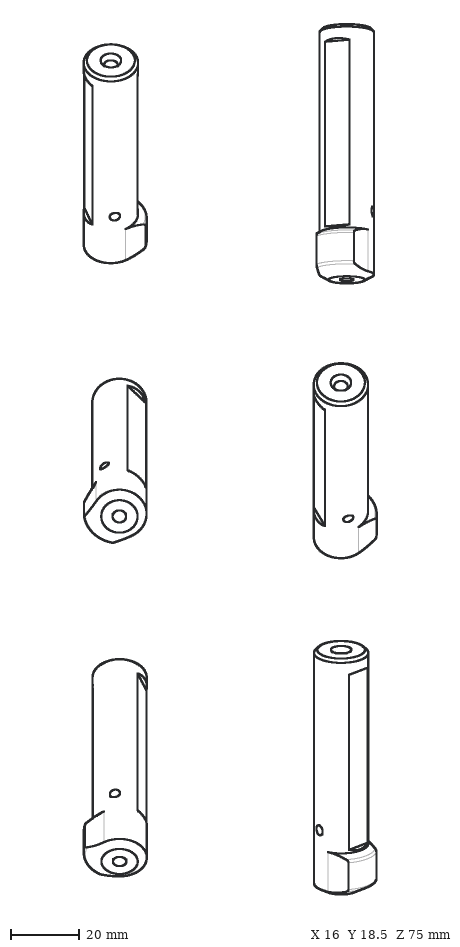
import cadquery as cq
import math

length = 75.0
body_radius = 16.0 / 2
top_chamfer = 1.0

total_depth = 18.5
lug_radius = total_depth - body_radius
lug_side_angle = math.radians(15)
cone_slope = math.tan(math.radians(30))
foot_radius = 5.3
lug_edge_fillet = 1.0
lug_top_at_body = 14.0
lug_top_at_tip = lug_top_at_body - (lug_radius - body_radius) * cone_slope
foot_cone_height = (lug_radius - foot_radius) * cone_slope

flat_distance = 7.0
flat_bottom = 15.0
flat_top = 70.1
flat_end_rise = (body_radius - flat_distance) * cone_slope

bore_diameter = 4.0
countersink_diameter = 6.0
countersink_angle = 60
cross_hole_diameter = 3.0
cross_hole_y = -1.3
cross_hole_z = 20.0


def make_body():
    return cq.Workplane("XY").circle(body_radius).extrude(length).faces(">Z").chamfer(top_chamfer)


def make_lug():
    """Wedge with sides tangent to the body and an outer face concentric with it."""
    tangent_x = body_radius * math.cos(lug_side_angle)
    tangent_y = body_radius * math.sin(lug_side_angle)
    side_length = math.sqrt(lug_radius**2 - body_radius**2)
    corner_x = tangent_x - side_length * math.sin(lug_side_angle)
    corner_y = tangent_y + side_length * math.cos(lug_side_angle)
    return (
        cq.Workplane("XY")
        .moveTo(-tangent_x, tangent_y)
        .lineTo(-corner_x, corner_y)
        .threePointArc((0, lug_radius), (corner_x, corner_y))
        .lineTo(tangent_x, tangent_y)
        .close()
        .extrude(lug_top_at_body)
    )


def make_envelope():
    """Turned shape that cones the foot and the top of the lug."""
    return (
        cq.Workplane("XZ")
        .moveTo(0, 0)
        .lineTo(foot_radius, 0)
        .lineTo(lug_radius, foot_cone_height)
        .lineTo(lug_radius, lug_top_at_tip)
        .lineTo(body_radius, lug_top_at_body)
        .lineTo(body_radius, length)
        .lineTo(0, length)
        .close()
        .revolve(360, (0, 0, 0), (0, 1, 0))
    )


def make_flat_cutter():
    """Side recess facing +Y, with sloping ends that open outwards."""
    return (
        cq.Workplane("YZ")
        .moveTo(flat_distance, flat_bottom)
        .lineTo(body_radius, flat_bottom - flat_end_rise)
        .lineTo(body_radius, flat_top + flat_end_rise)
        .lineTo(flat_distance, flat_top)
        .close()
        .extrude(body_radius, both=True)
    )


def make_cross_hole():
    return (
        cq.Workplane("YZ")
        .center(cross_hole_y, cross_hole_z)
        .circle(cross_hole_diameter / 2)
        .extrude(body_radius, both=True)
    )


result = make_body().union(make_lug()).intersect(make_envelope())
result = result.faces(">Y").edges("%CIRCLE").fillet(lug_edge_fillet)

flat_cutter = make_flat_cutter()
for side_angle in (0, 180):
    result = result.cut(flat_cutter.rotate((0, 0, 0), (0, 0, 1), side_angle))
result = (
    result.faces(">Z")
    .workplane(origin=(0, 0, length))
    .cskHole(bore_diameter, countersink_diameter, countersink_angle)
)
result = result.cut(make_cross_hole())